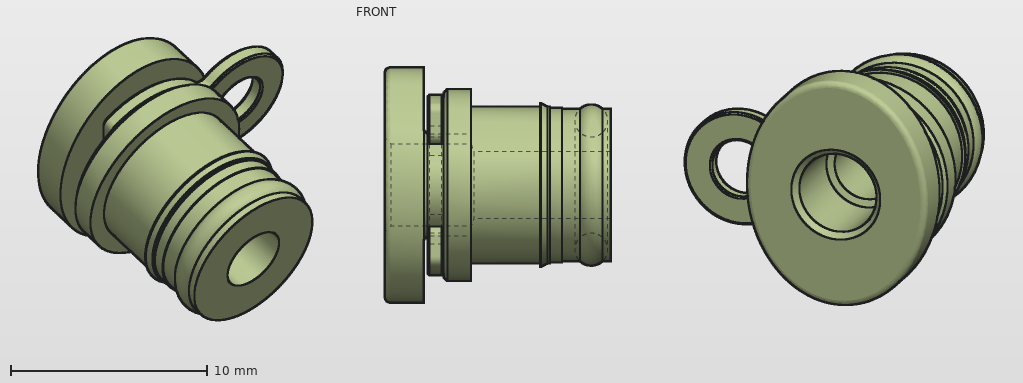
import cadquery as cq


HEAD_END = 2.0
CLIP_START = 2.2
COLLAR_START = 3.0
COLLAR_END = 4.4
BARB_START = 7.91
BARB_TAPER_END = 8.28
SLEEVE_END = 8.42
TIP_STEP = 9.04
O_RING_CENTER = 10.52
TIP_END = 11.52

HEAD_WIDTH = 9.8
HEAD_HEIGHT = 12.0
HEAD_ROUNDING = 0.3
SHANK_RADIUS = 2.6
SHANK_FLARE = CLIP_START - HEAD_END
HEAD_BORE_RADIUS = 2.08
HEAD_BORE_CHAMFER = 0.32

COLLAR_RADIUS = HEAD_WIDTH / 2
COLLAR_CHAMFER = 0.2
BARREL_RADIUS = 4.0
BARB_RADIUS = 4.17
BARB_LAND = 0.05
SOCKET_END = COLLAR_END
FUNNEL_DEPTH = 0.15

TIP_BASE_RADIUS = 3.95
TIP_RADIUS = 3.89
PASSAGE_RADIUS = 1.7

O_RING_OUTER_RADIUS = 4.11
O_RING_SECTION_RADIUS = 0.83
O_RING_PATH_RADIUS = O_RING_OUTER_RADIUS - O_RING_SECTION_RADIUS

OVERALL_WIDTH = 13.9

CLIP_THICKNESS = COLLAR_START - CLIP_START
CLIP_RADIUS = 4.6
CLIP_SLOT_WIDTH = 4.2
CLIP_END_OFFSET = 2.31
CLIP_ROUNDING = 0.5
CREASE_ROUNDING = 0.45
CLIP_CHAMFER = 0.1
EYE_RADIUS = 3.0
EYE_HOLE_RADIUS = 1.5
EYE_OFFSET = OVERALL_WIDTH - HEAD_WIDTH / 2 - EYE_RADIUS


def revolve_about_x(profile):
    """Turn a closed (X, radius) outline around the main axis."""
    return profile.close().revolve(360, (0, 0, 0), (1, 0, 0))


def o_ring_torus():
    """Round-section ring, used for the O-ring and for its groove."""
    section = cq.Workplane("XY").center(O_RING_CENTER, O_RING_PATH_RADIUS).circle(O_RING_SECTION_RADIUS)
    return section.revolve(360, (0, -O_RING_PATH_RADIUS, 0), (1, -O_RING_PATH_RADIUS, 0))


def make_head():
    flange = (
        cq.Workplane("YZ")
        .ellipse(HEAD_WIDTH / 2, HEAD_HEIGHT / 2)
        .extrude(HEAD_END)
        .faces("<X")
        .edges()
        .fillet(HEAD_ROUNDING)
    )
    shank = revolve_about_x(
        cq.Workplane("XY")
        .moveTo(HEAD_END, 0)
        .lineTo(HEAD_END, SHANK_RADIUS + SHANK_FLARE)
        .lineTo(CLIP_START, SHANK_RADIUS)
        .lineTo(SOCKET_END, SHANK_RADIUS)
        .lineTo(SOCKET_END, 0)
    )
    bore = revolve_about_x(
        cq.Workplane("XY")
        .lineTo(0, HEAD_BORE_RADIUS + HEAD_BORE_CHAMFER)
        .lineTo(HEAD_BORE_CHAMFER, HEAD_BORE_RADIUS)
        .lineTo(SOCKET_END, HEAD_BORE_RADIUS)
        .lineTo(SOCKET_END, 0)
    )
    return flange.union(shank).cut(bore)


def make_sleeve():
    return revolve_about_x(
        cq.Workplane("XY")
        .moveTo(COLLAR_START, SHANK_RADIUS)
        .lineTo(COLLAR_START, COLLAR_RADIUS - COLLAR_CHAMFER)
        .lineTo(COLLAR_START + COLLAR_CHAMFER, COLLAR_RADIUS)
        .lineTo(COLLAR_END, COLLAR_RADIUS)
        .lineTo(COLLAR_END, BARREL_RADIUS)
        .lineTo(BARB_START, BARREL_RADIUS)
        .lineTo(BARB_START, BARB_RADIUS)
        .lineTo(BARB_START + BARB_LAND, BARB_RADIUS)
        .lineTo(BARB_TAPER_END, BARREL_RADIUS)
        .lineTo(SLEEVE_END, BARREL_RADIUS)
        .lineTo(SLEEVE_END, PASSAGE_RADIUS)
        .lineTo(SOCKET_END + FUNNEL_DEPTH, PASSAGE_RADIUS)
        .lineTo(SOCKET_END, HEAD_BORE_RADIUS)
        .lineTo(SOCKET_END, SHANK_RADIUS)
    )


def make_tip():
    tube = revolve_about_x(
        cq.Workplane("XY")
        .moveTo(SLEEVE_END, PASSAGE_RADIUS)
        .lineTo(SLEEVE_END, TIP_BASE_RADIUS)
        .lineTo(TIP_STEP, TIP_BASE_RADIUS)
        .lineTo(TIP_STEP, TIP_RADIUS)
        .lineTo(TIP_END, TIP_RADIUS)
        .lineTo(TIP_END, PASSAGE_RADIUS)
    )
    return tube.cut(o_ring_torus())


def clip_disc(offset, radius):
    """Disc of the clip's thickness, its center moved along Y by the offset."""
    return cq.Workplane("YZ", origin=(CLIP_START, offset, 0)).circle(radius).extrude(CLIP_THICKNESS)


def clip_block(y_start, y_end, width):
    """Block of the clip's thickness between two Y positions, centered on Z = 0."""
    plane = cq.Workplane("YZ", origin=(CLIP_START, (y_start + y_end) / 2, 0))
    return plane.rect(y_end - y_start, width).extrude(CLIP_THICKNESS)


def make_clip():
    outline = clip_disc(0, CLIP_RADIUS).union(clip_disc(EYE_OFFSET, EYE_RADIUS))
    outline = outline.edges("|X and (not >Y)").fillet(CREASE_ROUNDING)

    outline = outline.cut(clip_block(-CLIP_RADIUS, -CLIP_END_OFFSET, 2 * CLIP_RADIUS))
    slot = clip_block(-CLIP_END_OFFSET, 0, CLIP_SLOT_WIDTH)
    clip = outline.cut(slot).cut(clip_disc(0, SHANK_RADIUS))
    clip = clip.edges("|X and <Y").fillet(CLIP_ROUNDING)

    clip = clip.cut(clip_disc(EYE_OFFSET, EYE_HOLE_RADIUS))
    return clip.faces("<X or >X").edges().chamfer(CLIP_CHAMFER)


head = make_head()
clip = make_clip()
sleeve = make_sleeve()
tip = make_tip()
o_ring = o_ring_torus()

bodies = [head, clip, sleeve, tip, o_ring]
result = cq.Compound.makeCompound([body.solids().val() for body in bodies])